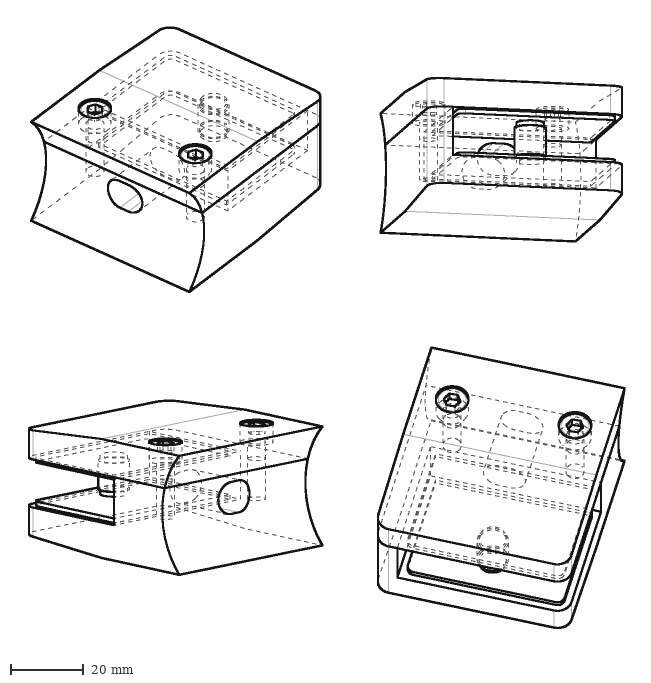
import cadquery as cq
import math

width = 55.0
length = 61.75
height = 33.5

jaw_thickness = 10.0
gap_height = height - 2 * jaw_thickness
gap_depth = 36.0
taper_length = 31.0
taper_drop = 2.05
jaw_corner_radius = 4.0
wall_thickness = 6.5
opening_width = width - wall_thickness
opening_center_x = -wall_thickness / 2

post_radius = 24.2
post_center_y = -math.sqrt(post_radius**2 - (height / 2) ** 2)

passage_width = 12.0
passage_height = 9.0

pad_thickness = 1.3
pad_margin = 2.0
pad_width = opening_width - 2 * pad_margin
pad_length = 32.0
pad_corner_radius = 2.0

pin_center_y = length - 11.0
pin_barrel_diameter = 8.65
pin_barrel_height = 8.1
pin_neck_diameter = 7.6
pin_height = gap_height - 2 * pad_thickness

screw_x = 17.5
screw_y = 15.75
screw_recess = 0.3
head_diameter = 9.0
head_height = 5.0
head_fillet = 0.7
shank_diameter = 5.0
shank_length = 16.0
hex_across_flats = 4.0
hex_depth = 2.5
hex_turn = 4.0

top_z = height / 2
split_z = gap_height / 2
head_top_z = top_z - screw_recess
head_bottom_z = head_top_z - head_height
hex_across_corners = hex_across_flats / math.cos(math.pi / 6)
screw_centers = [(-screw_x, screw_y), (screw_x, screw_y)]


def disc(diameter, bottom_z, thickness, centers):
    """Upright cylinders of one size, one at each centre."""
    return (
        cq.Workplane("XY", origin=(0, 0, bottom_z))
        .pushPoints(centers)
        .circle(diameter / 2)
        .extrude(thickness)
    )


def make_clamp_blank():
    """Solid clamp outline with tapered jaw end, rounded corners and saddle."""
    tip_z = top_z - taper_drop
    taper_start_y = length - taper_length
    profile = [
        (0, -top_z),
        (taper_start_y, -top_z),
        (length, -tip_z),
        (length, tip_z),
        (taper_start_y, top_z),
        (0, top_z),
    ]
    blank = cq.Workplane("YZ").polyline(profile).close().extrude(width / 2, both=True)
    blank = blank.edges("|Z and >Y").fillet(jaw_corner_radius)
    post = cq.Workplane("YZ").center(post_center_y, 0).circle(post_radius).extrude(width, both=True)
    return blank.cut(post)


def make_layer(bottom_z, layer_top_z):
    """Block that covers the whole clamp between two heights."""
    return (
        cq.Workplane("XY", origin=(0, length / 2, bottom_z))
        .rect(width, length)
        .extrude(layer_top_z - bottom_z)
    )


def make_upper_clamp():
    upper = make_clamp_blank().intersect(make_layer(split_z, top_z))
    counterbores = disc(head_diameter, head_bottom_z, head_height + screw_recess, screw_centers)
    clearances = disc(shank_diameter, split_z, head_bottom_z - split_z, screw_centers)
    return upper.cut(counterbores).cut(clearances)


def make_lower_clamp():
    lower = make_clamp_blank().intersect(make_layer(-top_z, split_z))
    gap = (
        cq.Workplane("XY", origin=(opening_center_x, length - gap_depth / 2, 0))
        .box(opening_width, gap_depth, gap_height)
    )
    passage = cq.Workplane("XZ").slot2D(passage_width, passage_height).extrude(-length)
    screw_holes = disc(shank_diameter, head_bottom_z - shank_length, shank_length, screw_centers)
    return lower.cut(gap).cut(passage).cut(screw_holes)


def make_pad(bottom_z):
    """Flat pad with its two outer corners rounded."""
    center_y = length - pad_margin - pad_length / 2
    return (
        cq.Workplane("XY", origin=(opening_center_x, center_y, bottom_z))
        .rect(pad_width, pad_length)
        .extrude(pad_thickness)
        .edges("|Z and >Y")
        .fillet(pad_corner_radius)
    )


def make_pin():
    """Barrel with a thinner neck at each end, resting against both pads."""
    center = [(opening_center_x, pin_center_y)]
    neck = disc(pin_neck_diameter, -pin_height / 2, pin_height, center)
    barrel = disc(pin_barrel_diameter, -pin_barrel_height / 2, pin_barrel_height, center)
    return neck.union(barrel)


def make_screw(center):
    """Socket head screw with a rounded head rim and a hexagonal socket."""
    head = disc(head_diameter, head_bottom_z, head_height, [center]).faces(">Z").edges().fillet(head_fillet)
    shank = disc(shank_diameter, head_bottom_z - shank_length, shank_length, [center])
    socket = (
        cq.Workplane("XY", origin=(*center, head_top_z))
        .transformed(rotate=(0, 0, hex_turn))
        .polygon(6, hex_across_corners)
        .extrude(-hex_depth)
    )
    return head.union(shank).cut(socket)


upper_clamp = make_upper_clamp()
lower_clamp = make_lower_clamp()
pads = [make_pad(bottom_z) for bottom_z in (-split_z, split_z - pad_thickness)]
pin = make_pin()
screws = [make_screw(center) for center in screw_centers]

result = cq.Compound.makeCompound(
    [
        upper_clamp.val(),
        lower_clamp.val(),
        *[pad.val() for pad in pads],
        pin.val(),
        *[screw.val() for screw in screws],
    ]
)